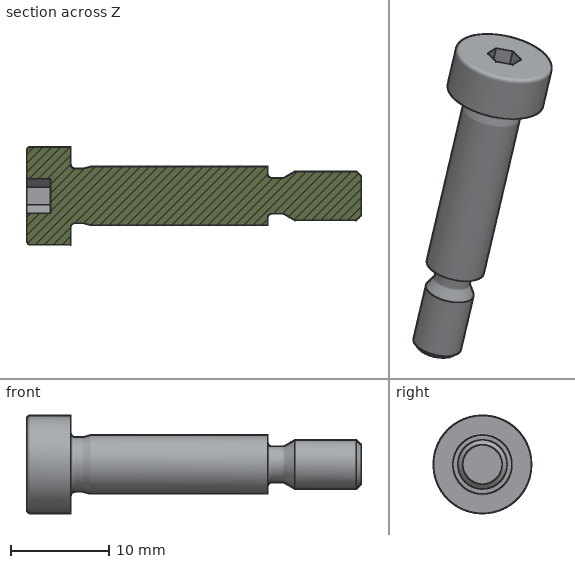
import cadquery as cq
import math

total_length = 34.0

head_diameter = 10.0
head_height = 4.5
head_edge_radius = 0.4

socket_across_flats = 3.0
socket_depth = 2.4

shoulder_diameter = 6.0
shoulder_length = 20.0
neck_diameter = 5.6
neck_length = 2.0
neck_runout_angle = 15.0

thread_diameter = 5.0
relief_diameter = 3.7
relief_length = 2.75
relief_runout_angle = 30.0
thread_end_chamfer = 0.5

undercut_fillet = 0.4

head_face_x = -head_height
thread_end_x = total_length - head_height
shoulder_radius = shoulder_diameter / 2
neck_radius = neck_diameter / 2
thread_radius = thread_diameter / 2
relief_radius = relief_diameter / 2


def cylinder(start_x, end_x, diameter):
    """Solid cylinder on the X axis."""
    return cq.Workplane("YZ", origin=(start_x, 0, 0)).circle(diameter / 2).extrude(end_x - start_x)


def undercut(start_x, length, floor_radius, full_radius, runout_angle):
    """Filleted neck that leaves a flat face at start_x and widens conically to full_radius."""
    end_x = start_x + length
    angle = math.radians(runout_angle)
    cone_start_x = end_x - (full_radius - floor_radius) / math.tan(angle)
    fillet_center_radius = floor_radius + undercut_fillet

    wall_center_x = start_x + undercut_fillet
    half_wall = math.radians(45)
    wall_middle = (
        wall_center_x - undercut_fillet * math.sin(half_wall),
        fillet_center_radius - undercut_fillet * math.cos(half_wall),
    )

    runout_center_x = cone_start_x - undercut_fillet * math.tan(angle / 2)

    def runout_point(turn):
        return (
            runout_center_x + undercut_fillet * math.sin(turn),
            fillet_center_radius - undercut_fillet * math.cos(turn),
        )

    return (
        cq.Workplane("XY")
        .moveTo(start_x, 0)
        .lineTo(start_x, fillet_center_radius)
        .threePointArc(wall_middle, (wall_center_x, floor_radius))
        .lineTo(runout_center_x, floor_radius)
        .threePointArc(runout_point(angle / 2), runout_point(angle))
        .lineTo(end_x, full_radius)
        .lineTo(end_x, 0)
        .close()
        .revolve(360, (0, 0, 0), (1, 0, 0))
    )


def head():
    blank = cylinder(head_face_x, 0, head_diameter)
    return blank.faces("<X").edges().fillet(head_edge_radius)


def shoulder():
    neck = undercut(0, neck_length, neck_radius, shoulder_radius, neck_runout_angle)
    return neck.union(cylinder(neck_length, shoulder_length, shoulder_diameter))


def thread_stud():
    relief = undercut(shoulder_length, relief_length, relief_radius, thread_radius, relief_runout_angle)
    stud = cylinder(shoulder_length + relief_length, thread_end_x, thread_diameter)
    return relief.union(stud.faces(">X").edges().chamfer(thread_end_chamfer))


def hex_socket():
    """Flat-bottomed hexagon with two corners pointing along Y."""
    across_corners = socket_across_flats / math.cos(math.radians(30))
    face = cq.Workplane("YZ", origin=(head_face_x, 0, 0))
    return face.polygon(6, across_corners).extrude(socket_depth)


result = head().union(shoulder()).union(thread_stud()).cut(hex_socket())